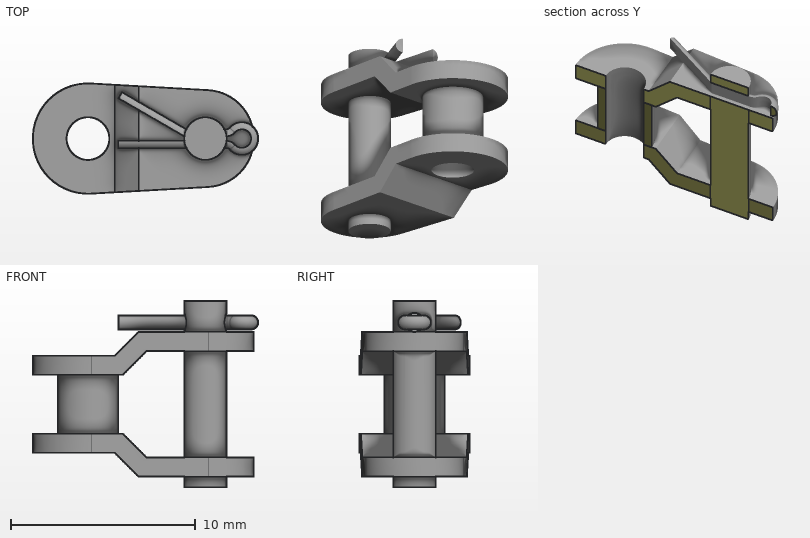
import cadquery as cq
import math


PITCH = 6.35
INNER_WIDTH = 3.175
PLATE_THICKNESS = 1.04
PLATE_CLEARANCE = 0.25
CRANK_START = 1.45
CRANK_ANGLE = 45.0
BUSHING_END_RADIUS = 2.99
PIN_END_RADIUS = 2.63
PIN_DIAMETER = 2.3
BUSHING_DIAMETER = 3.3
PIN_LENGTH = 10.08
PIN_FOOT = 0.57
WIRE_RADIUS = 0.385
LEG_GAP = 0.25
EYE_INNER_RADIUS = 0.5
EYE_CENTRE_OFFSET = 1.975
LEG_REACH = 4.7
LEG_SPREAD_ANGLE = 30.0

PIN_RADIUS = PIN_DIAMETER / 2
HALF_WIDTH = INNER_WIDTH / 2
CRANK_RISE = PLATE_THICKNESS + PLATE_CLEARANCE
CRANK_RUN = CRANK_RISE / math.tan(math.radians(CRANK_ANGLE))
CRANK_SHIFT = PLATE_THICKNESS * math.tan(math.radians(CRANK_ANGLE / 2))
PLATE_TOP = HALF_WIDTH + PLATE_THICKNESS + CRANK_RISE
PIN_BOTTOM = -PLATE_TOP - PIN_FOOT
HALF_GAP = LEG_GAP / 2
COTTER_HOLE_RADIUS = HALF_GAP + WIRE_RADIUS
COTTER_Z = PLATE_TOP + COTTER_HOLE_RADIUS
EYE_CENTRE_X = PITCH + EYE_CENTRE_OFFSET
LEG_TIP_X = PITCH - LEG_REACH
LEG_BEND_X = PITCH - PIN_RADIUS
NECK_X = PITCH + PIN_RADIUS


def plate_outline():
    """Two unequal round ends joined by their common tangents, as a tall prism."""
    tangent_sin = (BUSHING_END_RADIUS - PIN_END_RADIUS) / PITCH
    tangent_cos = math.sqrt(1 - tangent_sin**2)
    big_x = BUSHING_END_RADIUS * tangent_sin
    big_y = BUSHING_END_RADIUS * tangent_cos
    small_x = PITCH + PIN_END_RADIUS * tangent_sin
    small_y = PIN_END_RADIUS * tangent_cos
    return (
        cq.Workplane("XY")
        .moveTo(big_x, -big_y)
        .lineTo(small_x, -small_y)
        .threePointArc((PITCH + PIN_END_RADIUS, 0), (small_x, small_y))
        .lineTo(big_x, big_y)
        .threePointArc((-BUSHING_END_RADIUS, 0), (big_x, -big_y))
        .close()
        .extrude(PLATE_TOP)
    )


def make_upper_plate():
    """Side profile of the cranked strip, trimmed to the plate outline, with both holes."""
    left = -BUSHING_END_RADIUS
    right = PITCH + PIN_END_RADIUS
    inner_start = CRANK_START + CRANK_SHIFT
    strip = (
        cq.Workplane("XZ")
        .moveTo(left, HALF_WIDTH)
        .lineTo(inner_start, HALF_WIDTH)
        .lineTo(inner_start + CRANK_RUN, HALF_WIDTH + CRANK_RISE)
        .lineTo(right, HALF_WIDTH + CRANK_RISE)
        .lineTo(right, PLATE_TOP)
        .lineTo(CRANK_START + CRANK_RUN, PLATE_TOP)
        .lineTo(CRANK_START, HALF_WIDTH + PLATE_THICKNESS)
        .lineTo(left, HALF_WIDTH + PLATE_THICKNESS)
        .close()
        .extrude(BUSHING_END_RADIUS, both=True)
    )
    holes = (
        cq.Workplane("XY")
        .pushPoints([(0, 0), (PITCH, 0)])
        .circle(PIN_RADIUS)
        .extrude(PLATE_TOP)
    )
    return strip.intersect(plate_outline()).cut(holes)


def make_bushing():
    """Plain sleeve held between the plates."""
    return (
        cq.Workplane("XY", origin=(0, 0, -HALF_WIDTH))
        .circle(BUSHING_DIAMETER / 2)
        .circle(PIN_RADIUS)
        .extrude(INNER_WIDTH)
    )


def make_pin():
    """Round pin with a cross hole for the cotter just above the upper plate."""
    pin = (
        cq.Workplane("XY", origin=(PITCH, 0, PIN_BOTTOM))
        .circle(PIN_RADIUS)
        .extrude(PIN_LENGTH)
    )
    cotter_hole = (
        cq.Workplane("YZ", origin=(PITCH, 0, COTTER_Z))
        .circle(COTTER_HOLE_RADIUS)
        .extrude(PIN_RADIUS, both=True)
    )
    return pin.cut(cotter_hole)


def half_round(x, y, side):
    """Half-disc wire section across X, its flat at y and its round side toward side * Y."""
    return (
        cq.Workplane("YZ", origin=(x, y, COTTER_Z))
        .moveTo(0, -WIRE_RADIUS)
        .threePointArc((side * WIRE_RADIUS, 0), (0, WIRE_RADIUS))
        .close()
    )


def make_cotter():
    """Half-round wire looped into an eye, with one straight leg and one spread leg."""
    neck_length = EYE_CENTRE_X - NECK_X
    neck_radius = (neck_length**2 + HALF_GAP**2 - EYE_INNER_RADIUS**2) / (2 * (EYE_INNER_RADIUS - HALF_GAP))
    neck_angle = math.atan2(HALF_GAP + neck_radius, neck_length)
    join_x = EYE_CENTRE_X - EYE_INNER_RADIUS * math.cos(neck_angle)
    join_y = EYE_INNER_RADIUS * math.sin(neck_angle)
    half_turn = (math.pi / 2 - neck_angle) / 2
    middle_x = NECK_X + neck_radius * math.sin(half_turn)
    middle_y = HALF_GAP + neck_radius * (1 - math.cos(half_turn))
    path = (
        cq.Workplane("XY", origin=(0, 0, COTTER_Z))
        .moveTo(LEG_TIP_X, -HALF_GAP)
        .lineTo(NECK_X, -HALF_GAP)
        .threePointArc((middle_x, -middle_y), (join_x, -join_y))
        .threePointArc((EYE_CENTRE_X + EYE_INNER_RADIUS, 0), (join_x, join_y))
        .threePointArc((middle_x, middle_y), (NECK_X, HALF_GAP))
        .lineTo(LEG_BEND_X, HALF_GAP)
    )
    loop = half_round(LEG_TIP_X, -HALF_GAP, -1).sweep(path)

    spread_length = (LEG_BEND_X - LEG_TIP_X) / math.cos(math.radians(LEG_SPREAD_ANGLE))
    bend_bottom = (LEG_BEND_X, HALF_GAP, 0)
    bend_top = (LEG_BEND_X, HALF_GAP, 1)
    spread_leg = (
        half_round(LEG_BEND_X, HALF_GAP, 1)
        .extrude(-spread_length)
        .rotate(bend_bottom, bend_top, -LEG_SPREAD_ANGLE)
    )
    return loop.union(spread_leg)


upper_plate = make_upper_plate()
lower_plate = upper_plate.mirror("XY")
bushing = make_bushing()
pin = make_pin()
cotter = make_cotter()

result = cq.Compound.makeCompound(
    [body.solids().val() for body in (upper_plate, lower_plate, bushing, pin, cotter)]
)